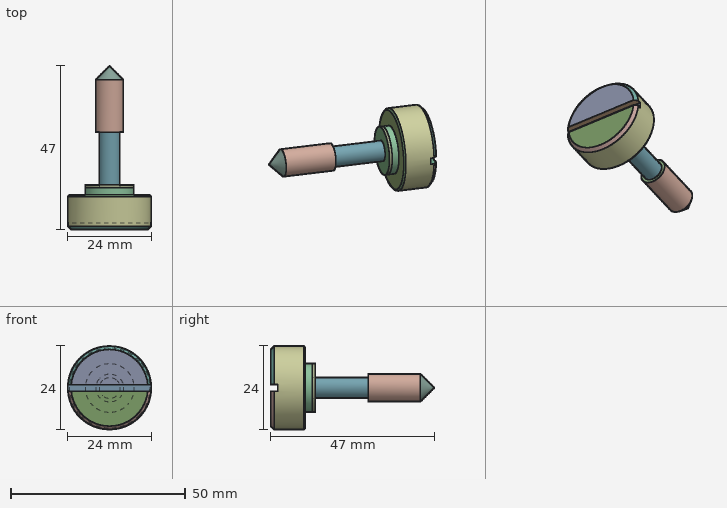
import cadquery as cq


knob_diameter = 24.0
knob_length = 10.0
front_chamfer = 1.0
rear_chamfer = 0.5
slot_width = 1.85
slot_depth = 2.0

boss_diameter = 14.0
boss_length = 2.0
washer_diameter = boss_diameter
washer_thickness = 0.85

neck_diameter = 6.0
thread_diameter = 8.0
thread_length = 15.0
tip_length = thread_diameter / 2
overall_length = 47.0

boss_end = knob_length + boss_length
tip_start = overall_length - tip_length
thread_start = tip_start - thread_length


def cylinder_along_y(diameter, start, end):
    """Solid cylinder on the Y axis between two stations."""
    return (
        cq.Workplane("XZ", origin=(0, start, 0))
        .circle(diameter / 2)
        .extrude(start - end)
    )


def make_screw():
    """Knob, boss, neck, thread and point revolved as one body, then slotted."""
    knob_radius = knob_diameter / 2
    boss_radius = boss_diameter / 2
    neck_radius = neck_diameter / 2
    thread_radius = thread_diameter / 2
    turned = (
        cq.Workplane("XY")
        .moveTo(0, 0)
        .lineTo(knob_radius - front_chamfer, 0)
        .lineTo(knob_radius, front_chamfer)
        .lineTo(knob_radius, knob_length - rear_chamfer)
        .lineTo(knob_radius - rear_chamfer, knob_length)
        .lineTo(boss_radius, knob_length)
        .lineTo(boss_radius, boss_end)
        .lineTo(neck_radius, boss_end)
        .lineTo(neck_radius, thread_start)
        .lineTo(thread_radius, thread_start)
        .lineTo(thread_radius, tip_start)
        .lineTo(0, overall_length)
        .close()
        .revolve(360, (0, 0, 0), (0, 1, 0))
    )
    slot = cq.Workplane("XY").box(knob_diameter, slot_depth, slot_width, centered=(True, False, True))
    return turned.cut(slot)


def make_washer():
    """Flat ring around the neck, seated on the boss."""
    washer_end = boss_end + washer_thickness
    disc = cylinder_along_y(washer_diameter, boss_end, washer_end)
    bore = cylinder_along_y(neck_diameter, boss_end, washer_end)
    return disc.cut(bore)


screw = make_screw()
washer = make_washer()

result = cq.Compound.makeCompound([screw.val(), washer.val()])